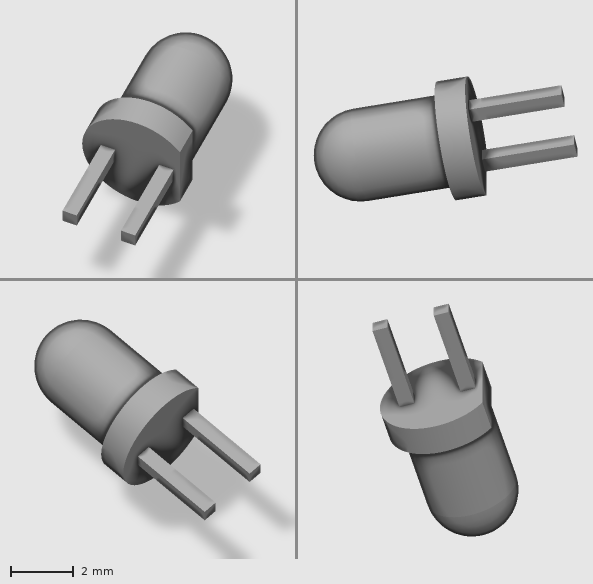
import cadquery as cq

total_length = 8.3
lens_radius = 1.49
flange_radius = 1.925
flange_thickness = 1.0
flat_offset = lens_radius
lead_length = 3.005
lead_width = 0.5
lead_pitch = 2.04

barrel_length = total_length - lead_length - flange_thickness - lens_radius
dome_start = flange_thickness + barrel_length


def make_flange():
    """Disc from Y = 0 to the lens, cut flat on its +X side."""
    disc = cq.Workplane("XZ").circle(flange_radius).extrude(-flange_thickness)
    kept_width = flange_radius + flat_offset
    kept_region = (
        cq.Workplane("XZ")
        .center(flat_offset - kept_width / 2, 0)
        .rect(kept_width, 2 * flange_radius)
        .extrude(-flange_thickness)
    )
    return disc.intersect(kept_region)


def make_lens():
    """Half profile of barrel and hemispherical dome, revolved about Y."""
    arc_reach = lens_radius / 2**0.5
    return (
        cq.Workplane("XY")
        .moveTo(0, flange_thickness)
        .lineTo(lens_radius, flange_thickness)
        .lineTo(lens_radius, dome_start)
        .threePointArc((arc_reach, dome_start + arc_reach), (0, dome_start + lens_radius))
        .close()
        .revolve(360, (0, 0, 0), (0, 1, 0))
    )


def make_leads():
    """Two square leads side by side along X, running to -Y."""
    return (
        cq.Workplane("XZ")
        .pushPoints([(-lead_pitch / 2, 0), (lead_pitch / 2, 0)])
        .rect(lead_width, lead_width)
        .extrude(lead_length)
    )


result = make_flange().union(make_lens()).union(make_leads())